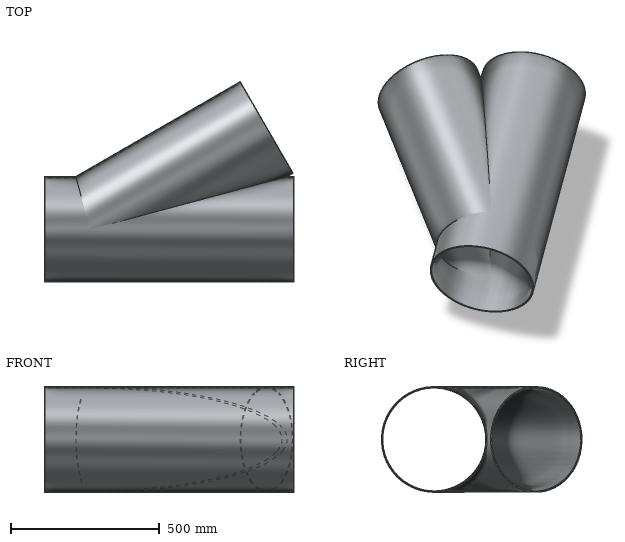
import cadquery as cq
import math

main_length = 838.0
outer_diameter = 355.0
inner_diameter = 346.0
branch_angle = 30.0
junction_x = 152.5
branch_length = main_length - junction_x

branch_direction = (
    math.cos(math.radians(branch_angle)),
    math.sin(math.radians(branch_angle)),
    0,
)


def main_cylinder(diameter):
    """Straight run along X."""
    return cq.Workplane("YZ").circle(diameter / 2).extrude(main_length)


def branch_cylinder(diameter):
    """Branch leaving the junction of the axes towards +X and +Y."""
    start_plane = cq.Plane(
        origin=(junction_x, 0, 0), xDir=(0, 0, 1), normal=branch_direction
    )
    return cq.Workplane(start_plane).circle(diameter / 2).extrude(branch_length)


def wye(diameter):
    """Straight run and branch joined into one solid."""
    return main_cylinder(diameter).union(branch_cylinder(diameter))


result = wye(outer_diameter).cut(wye(inner_diameter))